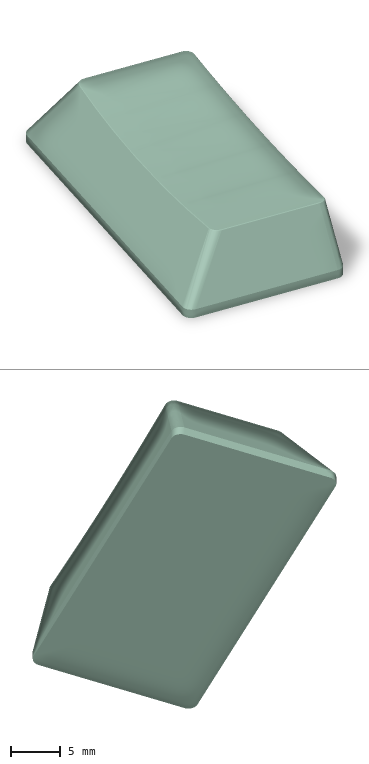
import cadquery as cq

length = 37.05
width = 18.0
skirt_height = 1.0
corner_radius = 1.0

rim_height = 7.5
side_inset = 3.05
front_inset = 4.52
back_inset = 0.58
top_corner_radius = 0.95

dish_depth = 0.65
rim_edge_radius = 0.1

trim_allowance = 0.5
taper_extension = 1 + trim_allowance / (rim_height - skirt_height)


def rounded_outline(size_x, size_y, radius, center_y, height):
    """Closed wire of a rounded rectangle lying at the given height."""
    block = cq.Workplane("XY").box(size_x, size_y, radius, centered=(True, True, False))
    rounded = block.edges("|Z").fillet(radius)
    return rounded.faces("<Z").wires().val().translate(cq.Vector(0, center_y, height))


def make_skirt():
    block = cq.Workplane("XY").box(length, width, skirt_height, centered=(True, True, False))
    return block.edges("|Z").fillet(corner_radius)


def make_tapered_body():
    top_length = length - 2 * side_inset * taper_extension
    top_width = width - (front_inset + back_inset) * taper_extension
    top_center_y = (front_inset - back_inset) * taper_extension / 2
    top_height = rim_height + trim_allowance
    bottom = rounded_outline(length, width, corner_radius, 0, skirt_height)
    top = rounded_outline(top_length, top_width, top_corner_radius, top_center_y, top_height)
    return cq.Workplane(cq.Solid.makeLoft([bottom, top], True))


def make_dish_cutter():
    """Cylinder along Y whose underside forms the concave top."""
    rim_half_length = length / 2 - side_inset
    dish_radius = (rim_half_length**2 + dish_depth**2) / (2 * dish_depth)
    dish_axis_height = rim_height - dish_depth + dish_radius
    return (
        cq.Workplane("XZ")
        .center(0, dish_axis_height)
        .circle(dish_radius)
        .extrude(width, both=True)
    )


def round_rim(body):
    rim_center = (0, (front_inset - back_inset) / 2, rim_height)
    dish_face = cq.selectors.NearestToPointSelector(rim_center)
    return body.faces(dish_face).edges().fillet(rim_edge_radius)


keycap = make_skirt().union(make_tapered_body()).cut(make_dish_cutter())
result = round_rim(keycap)